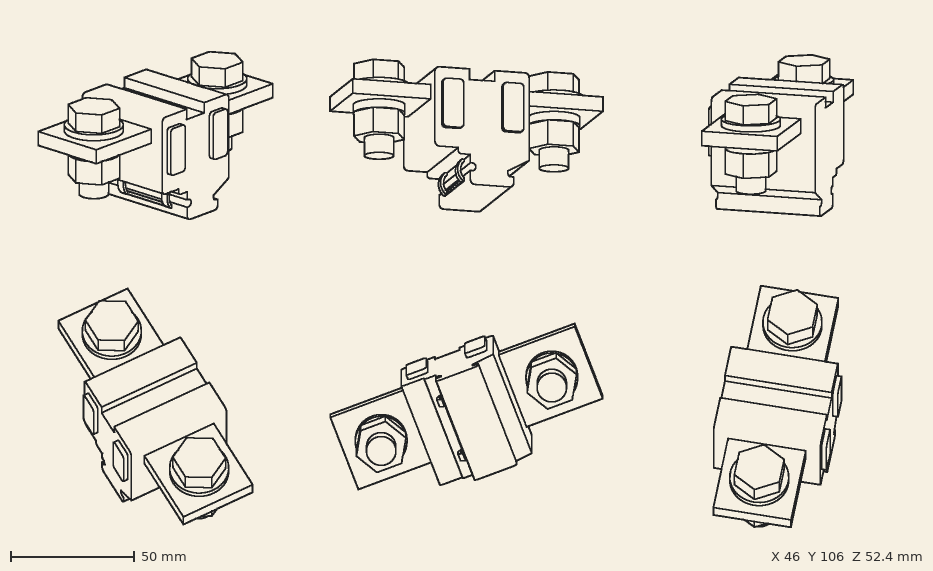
import cadquery as cq
import math


BLOCK_WIDTH = 44.0
BLOCK_DEPTH = 40.0
BLOCK_TOP = 48.1
BLOCK_BACK = BLOCK_DEPTH / 2
BLOCK_FRONT = -BLOCK_DEPTH / 2
EDGE_RADIUS = 2.0
TOP_SLOT_WIDTH = 10.6
TOP_SLOT_DEPTH = 4.5
FRONT_OVERHANG_Z = 14.9
STEP_Y = -10.1
STEP_Z = 12.4
STEP_RADIUS = 1.3
BACK_SLOPE_TOP_Z = 11.7

FOOT_FRONT = -5.0
FOOT_BACK = 13.5
FOOT_LIP_Z = 4.3
FOOT_LIP_RADIUS = 0.5
RAIL_GROOVE_Y = 10.9
RAIL_GROOVE_TOP_Z = 6.7
RAIL_GROOVE_RADIUS = 1.3
NOTCH_RADIUS = 1.6
NOTCH_DEPTH = 2.3
NOTCH_Z = 7.3

SPRING_OUTER_RADIUS = 5.9
SPRING_THICKNESS = 1.3
SPRING_CENTER_Y = -1.9
SPRING_CENTER_Z = 8.1
SPRING_BOTTOM_Z = 3.4
SPRING_SPAN = 27.1
SPRING_LEG_WIDTH = 3.1
SPRING_WEB_THICKNESS = 0.3

TAB_HEIGHT = 2.0
TAB_DEPTH = 8.7
TAB_LENGTH = 20.1
TAB_CENTER_Y = 12.7
TAB_CENTER_Z = 33.0
TAB_RADIUS = 1.6

BAR_LENGTH = 106.0
BAR_WIDTH = 32.0
BAR_THICKNESS = 6.0
BAR_BOTTOM = 35.9
BAR_TOP = BAR_BOTTOM + BAR_THICKNESS

BOLT_Y = 37.0
HEX_ACROSS_FLATS = 18.5
HEX_ACROSS_CORNERS = HEX_ACROSS_FLATS / math.cos(math.pi / 6)
HEAD_HEIGHT = 8.0
WASHER_DIAMETER = 24.0
WASHER_THICKNESS = 2.5
SPACER_DIAMETER = 21.0
SPACER_THICKNESS = 3.5
NUT_HEIGHT = 10.2
SHANK_DIAMETER = 12.0
SHANK_BOTTOM = 14.7


def box_between(x_range, y_range, z_range):
    """Axis-aligned box spanning the three (low, high) ranges."""
    sizes = [high - low for low, high in (x_range, y_range, z_range)]
    return cq.Workplane("XY").box(*sizes, centered=False).translate((x_range[0], y_range[0], z_range[0]))


def extrude_across(sketch, width):
    """Extrude a YZ profile symmetrically about X = 0."""
    return sketch.extrude(width / 2, both=True)


def round_edges_at(body, points, radius):
    """Fillet the long X edges whose (y, z) positions are given."""
    for y, z in points:
        body = body.edges(cq.selectors.NearestToPointSelector((0, y, z))).fillet(radius)
    return body


def make_block():
    slot_half = TOP_SLOT_WIDTH / 2
    slot_floor = BLOCK_TOP - TOP_SLOT_DEPTH
    outline = [
        (FOOT_FRONT, 0),
        (FOOT_FRONT, STEP_Z),
        (STEP_Y, STEP_Z),
        (STEP_Y, FRONT_OVERHANG_Z),
        (BLOCK_FRONT, FRONT_OVERHANG_Z),
        (BLOCK_FRONT, BLOCK_TOP),
        (-slot_half, BLOCK_TOP),
        (-slot_half, slot_floor),
        (slot_half, slot_floor),
        (slot_half, BLOCK_TOP),
        (BLOCK_BACK, BLOCK_TOP),
        (BLOCK_BACK, BACK_SLOPE_TOP_Z),
        (RAIL_GROOVE_Y, RAIL_GROOVE_TOP_Z),
        (RAIL_GROOVE_Y, FOOT_LIP_Z),
        (FOOT_BACK, FOOT_LIP_Z),
        (FOOT_BACK, 0),
    ]
    block = extrude_across(cq.Workplane("YZ").polyline(outline).close(), BLOCK_WIDTH)
    main_corners = [
        (BLOCK_FRONT, BLOCK_TOP),
        (BLOCK_BACK, BLOCK_TOP),
        (BLOCK_FRONT, FRONT_OVERHANG_Z),
        (FOOT_FRONT, 0),
        (FOOT_BACK, 0),
    ]
    block = round_edges_at(block, main_corners, EDGE_RADIUS)
    block = round_edges_at(block, [(STEP_Y, STEP_Z)], STEP_RADIUS)
    block = round_edges_at(block, [(RAIL_GROOVE_Y, FOOT_LIP_Z)], RAIL_GROOVE_RADIUS)
    block = round_edges_at(block, [(FOOT_BACK, FOOT_LIP_Z)], FOOT_LIP_RADIUS)
    return block.cut(make_notch())


def make_notch():
    """Round-ended groove running across the front of the foot."""
    profile = cq.Workplane("YZ").center(FOOT_FRONT, NOTCH_Z).slot2D(2 * NOTCH_DEPTH, 2 * NOTCH_RADIUS)
    return extrude_across(profile, BLOCK_WIDTH)


def make_spring():
    """Two curved legs joined by a thin web along the foot."""
    inner_radius = SPRING_OUTER_RADIUS - SPRING_THICKNESS
    ring = cq.Workplane("YZ").center(SPRING_CENTER_Y, SPRING_CENTER_Z)
    ring = extrude_across(ring.circle(SPRING_OUTER_RADIUS).circle(inner_radius), SPRING_SPAN)
    half_span = SPRING_SPAN / 2
    half_gap = half_span - SPRING_LEG_WIDTH
    heights = (SPRING_BOTTOM_Z, STEP_Z)
    exposed = box_between((-half_span, half_span), (STEP_Y, FOOT_FRONT), heights)
    gap = box_between((-half_gap, half_gap), (STEP_Y, FOOT_FRONT - SPRING_WEB_THICKNESS), heights)
    upper_gap = box_between((-half_gap, half_gap), (STEP_Y, FOOT_FRONT), (SPRING_CENTER_Z, STEP_Z))
    return ring.intersect(exposed).cut(gap).cut(upper_gap)


def make_tab(center_y):
    tab = cq.Workplane("YZ", origin=(BLOCK_WIDTH / 2, center_y, TAB_CENTER_Z))
    return tab.rect(TAB_DEPTH, TAB_LENGTH).extrude(TAB_HEIGHT).edges("|X").fillet(TAB_RADIUS)


def make_busbar():
    return box_between(
        (-BAR_WIDTH / 2, BAR_WIDTH / 2),
        (-BAR_LENGTH / 2, BAR_LENGTH / 2),
        (BAR_BOTTOM, BAR_TOP),
    )


def make_bolt(center_y):
    """Bolt with head and washer above the busbar, spacer and nut below it."""

    def level(z):
        return cq.Workplane("XY", origin=(0, center_y, z))

    def hexagon(z, height):
        return level(z).transformed(rotate=(0, 0, 90)).polygon(6, HEX_ACROSS_CORNERS).extrude(height)

    head_bottom = BAR_TOP + WASHER_THICKNESS
    spacer_bottom = BAR_BOTTOM - SPACER_THICKNESS
    shank = level(SHANK_BOTTOM).circle(SHANK_DIAMETER / 2).extrude(head_bottom - SHANK_BOTTOM)
    washer = level(BAR_TOP).circle(WASHER_DIAMETER / 2).extrude(WASHER_THICKNESS)
    spacer = level(spacer_bottom).circle(SPACER_DIAMETER / 2).extrude(SPACER_THICKNESS)
    head = hexagon(head_bottom, HEAD_HEIGHT)
    nut = hexagon(spacer_bottom - NUT_HEIGHT, NUT_HEIGHT)
    return shank.union(washer).union(spacer).union(head).union(nut)


result = make_block().union(make_busbar()).union(make_spring())
for side in (-1, 1):
    result = result.union(make_tab(side * TAB_CENTER_Y))
    result = result.union(make_bolt(side * BOLT_Y))